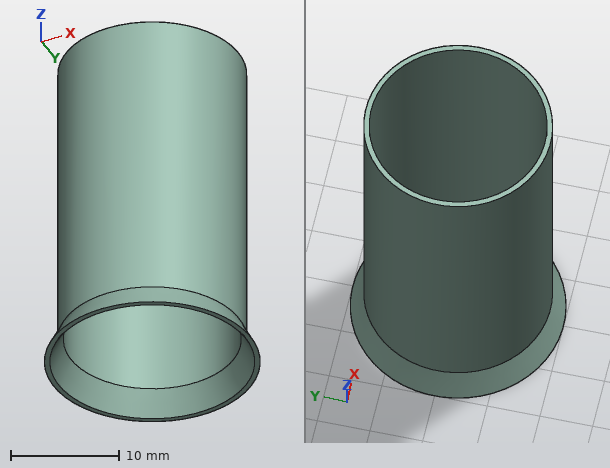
import cadquery as cq

length = 32.0
flare_diameter = 20.0
tube_diameter = 17.5
wall = 0.5
flare_height = 2.5

tube_radius = tube_diameter / 2
flare_radius = flare_diameter / 2
bore_radius = tube_radius - wall
mouth_radius = flare_radius - wall

wall_section = [
    (mouth_radius, 0),
    (flare_radius, 0),
    (tube_radius, flare_height),
    (tube_radius, length),
    (bore_radius, length),
    (bore_radius, flare_height),
]

result = cq.Workplane("XZ").polyline(wall_section).close().revolve(360, (0, 0), (0, 1))